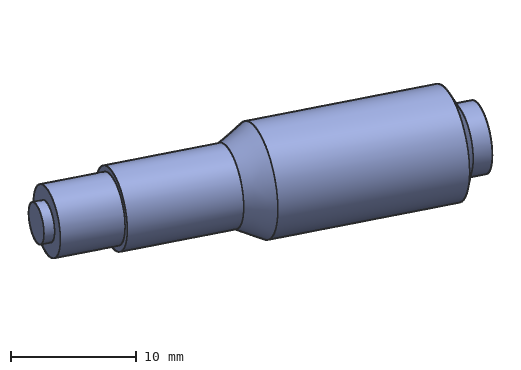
import cadquery as cq

tip_diameter = 3.45
end_diameter = 6.01
neck_diameter = 7.01
body_diameter = 9.63

overall_length = 37.64
tip_length = 0.9
front_end_length = 5.5
neck_length = 9.9
front_taper_length = 2.4
body_length = 16.3
rear_taper_length = 1.0

tip_end = tip_length
front_end_end = tip_end + front_end_length
neck_end = front_end_end + neck_length
body_start = neck_end + front_taper_length
body_end = body_start + body_length
rear_taper_end = body_end + rear_taper_length

tip_radius = tip_diameter / 2
end_radius = end_diameter / 2
neck_radius = neck_diameter / 2
body_radius = body_diameter / 2

profile = [
    (0, 0),
    (tip_radius, 0),
    (tip_radius, tip_end),
    (end_radius, tip_end),
    (end_radius, front_end_end),
    (neck_radius, front_end_end),
    (neck_radius, neck_end),
    (body_radius, body_start),
    (body_radius, body_end),
    (end_radius, rear_taper_end),
    (end_radius, overall_length),
    (0, overall_length),
]

result = cq.Workplane("XY").polyline(profile).close().revolve(360, (0, 0, 0), (0, 1, 0))